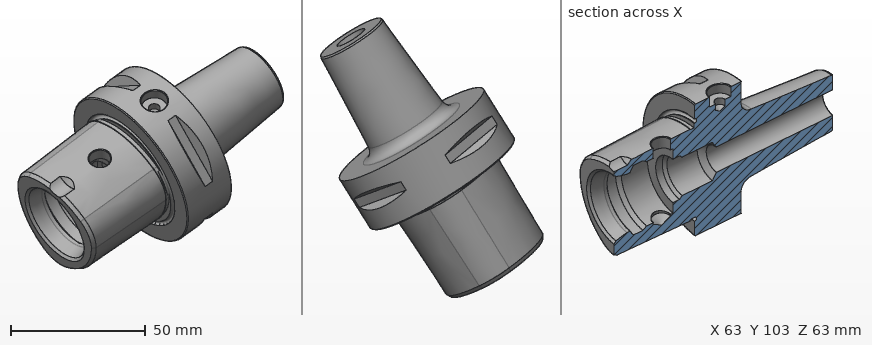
import cadquery as cq
import math


flange_radius = 31.5
flange_length = 22.0
flange_chamfer = 0.4
nose_end = 65.0
nose_tip_radius = 13.5
nose_base_radius = 16.5
nose_tip_bevel_length = 0.7
nose_tip_bevel_inset = 0.3
nose_fillet = 4.8

shank_length = 38.0
shank_half_width = 22.0
lobe_offset = 9.5
taper_per_length = 1 / 40
shank_chamfer_length = 1.5
shank_chamfer_inset = 0.9
neck_length = 2.1
neck_inset = 0.3
lobe_radius = shank_half_width - lobe_offset * math.sqrt(3) / 2
shank_flat_height = 2 * shank_half_width - lobe_offset - lobe_radius

collar_radius = 22.6
collar_height = 0.3
groove_outer_radius = 24.4
relief_length = 1.0

mouth_radius = 16.3
mouth_chamfer = 1.0
lead_in_radius = mouth_radius - mouth_chamfer
lip_radius = 13.8
lip_depth = 6.2
lip_end_depth = 7.7
clamp_groove_radius = 16.5
clamp_groove_start = 9.3
clamp_groove_end = 13.7
clamp_bore_radius = 15.2
clamp_bore_start = 15.5
clamp_bore_depth = 27.8
inner_bore_radius = 10.3
inner_bore_depth = 30.9
coolant_bore_radius = 9.1
coolant_bore_depth = 46.4
tool_bore_radius = 6.0
drill_tip_angle = math.radians(118)

slot_center_y = 12.0
slot_floor_distance = 28.0
slot_floor_width = 3.7
slot_mouth_width = 7.6
slot_angles = (45, 135, 225, 315)
coding_hole_radius = 4.9
hole_rim_chamfer = 0.3
rim_search_height = 1.0
coding_hole_floor = 26.8
coding_pilot_radius = 2.2
coding_pilot_depth = 3.1
shank_hole_radius = 4.0
shank_hole_setback = 22.7
shank_hole_y = shank_hole_setback - shank_length
shank_hole_floor = -16.0
notch_radius = 6.0
notch_floor = 18.2
notch_length = 6.4


def drill_tip_length(radius):
    """Height of the conical bottom left by a drill of the given radius."""
    return radius / math.tan(drill_tip_angle / 2)


def polar(radius, degrees):
    angle = math.radians(degrees)
    return radius * math.cos(angle), radius * math.sin(angle)


def lobed_wire(work, inset):
    """Constant-width outline: three lobe arcs joined tangentially by three flank arcs."""
    tip_radius = lobe_radius - inset
    lobe_centers = {angle: polar(lobe_offset, angle) for angle in (-90, 30, 150)}

    def on_lobe(lobe_angle, direction):
        center_x, center_z = lobe_centers[lobe_angle]
        step_x, step_z = polar(tip_radius, direction)
        return center_x + step_x, center_z + step_z

    flank_reach = lobe_offset * (math.sqrt(3) - 1) + tip_radius
    work = work.moveTo(*on_lobe(-90, -120))
    for lobe_angle, next_lobe in ((-90, 30), (30, 150), (150, -90)):
        work = work.threePointArc(on_lobe(lobe_angle, lobe_angle), on_lobe(lobe_angle, lobe_angle + 30))
        work = work.threePointArc(polar(flank_reach, lobe_angle + 60), on_lobe(next_lobe, next_lobe - 30))
    return work.close()


def lobed_frustum(start, length, start_inset, end_inset):
    """Lobed body running toward -Y from the given distance behind the flange face."""
    work = cq.Workplane("XZ", origin=(0, -start, 0))
    work = lobed_wire(work, start_inset).workplane(offset=length)
    return lobed_wire(work, end_inset).loft(ruled=True)


def revolved(points):
    """Solid of revolution about Y from (radius, y) points."""
    return cq.Workplane("XY").polyline(points).close().revolve(360, (0, 0, 0), (0, 1, 0))


def make_flange_and_nose():
    body = revolved([
        (0, 0),
        (flange_radius - flange_chamfer, 0),
        (flange_radius, flange_chamfer),
        (flange_radius, flange_length),
        (nose_base_radius, flange_length),
        (nose_tip_radius, nose_end - nose_tip_bevel_length),
        (nose_tip_radius - nose_tip_bevel_inset, nose_end),
        (0, nose_end),
    ])
    forward_faces = body.faces("+Y")
    flange_back = forward_faces.faces("<Y")
    inner_edge = cq.selectors.RadiusNthSelector(0)
    return flange_back.edges("%CIRCLE").edges(inner_edge).fillet(nose_fillet)


def make_shank():
    taper_length = shank_length - neck_length - shank_chamfer_length
    taper_inset = taper_length * taper_per_length
    taper_end = neck_length + taper_length
    neck = lobed_frustum(0, neck_length, neck_inset, neck_inset)
    taper = lobed_frustum(neck_length, taper_length, 0, taper_inset)
    tip = lobed_frustum(taper_end, shank_chamfer_length, taper_inset, taper_inset + shank_chamfer_inset)
    collar = cq.Workplane("XZ").circle(collar_radius).extrude(collar_height)
    return neck.union(taper).union(tip).union(collar)


def make_foot_groove():
    """Half-round groove in the flange face, with a relief that trims the lobes above it."""
    groove_radius = (groove_outer_radius - collar_radius) / 2
    relief_depth = groove_outer_radius - collar_radius
    return (
        cq.Workplane("XY")
        .moveTo(collar_radius, 0)
        .threePointArc((collar_radius + groove_radius, groove_radius), (groove_outer_radius, 0))
        .lineTo(groove_outer_radius, -relief_length - relief_depth)
        .lineTo(collar_radius, -relief_length)
        .close()
        .revolve(360, (0, 0, 0), (0, 1, 0))
    )


def make_bore():
    cone_length = drill_tip_length(coolant_bore_radius) - drill_tip_length(tool_bore_radius)
    inner_chamfer = inner_bore_radius - coolant_bore_radius
    steps = [
        (0, 0),
        (mouth_radius, 0),
        (lead_in_radius, mouth_chamfer),
        (lip_radius, lip_depth),
        (lip_radius, lip_end_depth),
        (clamp_groove_radius, clamp_groove_start),
        (clamp_groove_radius, clamp_groove_end),
        (clamp_bore_radius, clamp_bore_start),
        (clamp_bore_radius, clamp_bore_depth),
        (inner_bore_radius, clamp_bore_depth),
        (inner_bore_radius, inner_bore_depth),
        (coolant_bore_radius, inner_bore_depth + inner_chamfer),
        (coolant_bore_radius, coolant_bore_depth),
        (tool_bore_radius, coolant_bore_depth + cone_length),
        (tool_bore_radius, shank_length + nose_end),
        (0, shank_length + nose_end),
    ]
    return revolved([(radius, depth - shank_length) for radius, depth in steps])


def make_gripper_slot(angle):
    """Straight slot with sloped walls across the flange rim, turned about Y."""
    rim_depth = flange_radius - slot_floor_distance
    wall_slope = (slot_mouth_width - slot_floor_width) / 2 / rim_depth
    cut_height = 2 * rim_depth
    half_floor = slot_floor_width / 2
    half_top = half_floor + wall_slope * cut_height
    top = slot_floor_distance + cut_height
    slot = (
        cq.Workplane("YZ", origin=(0, slot_center_y, 0))
        .polyline([
            (-half_floor, slot_floor_distance),
            (half_floor, slot_floor_distance),
            (half_top, top),
            (-half_top, top),
        ])
        .close()
        .extrude(flange_radius, both=True)
    )
    return slot.rotate((0, 0, 0), (0, 1, 0), angle)


def drill_body(top_center, radius, depth):
    """Downward drill with a conical point; the depth excludes the point."""
    profile = [(0, 0), (radius, 0), (radius, -depth), (0, -depth - drill_tip_length(radius))]
    drill = cq.Workplane("XZ").polyline(profile).close().revolve(360, (0, 0, 0), (0, 1, 0))
    return drill.translate(top_center)


def make_coding_hole():
    seat = (
        cq.Workplane("XY", origin=(0, slot_center_y, coding_hole_floor))
        .circle(coding_hole_radius)
        .extrude(flange_radius - coding_hole_floor)
    )
    pilot_center = (0, slot_center_y, coding_hole_floor)
    return seat.union(drill_body(pilot_center, coding_pilot_radius, coding_pilot_depth))


def make_shank_hole():
    """Radial hole through the upper bore wall that leaves a drill point in the opposite wall."""
    top = collar_radius
    return drill_body((0, shank_hole_y, top), shank_hole_radius, top - shank_hole_floor)


def chamfer_hole_rim(body, radius, center_y, rim_z):
    """Break the outer edge of a hole that opens upward at about the given height."""
    rim_box = cq.selectors.BoxSelector(
        (-radius, center_y - radius, rim_z - rim_search_height),
        (radius, center_y + radius, rim_z + rim_search_height),
    )
    return body.edges(rim_box).chamfer(hole_rim_chamfer)


def make_notch():
    """Round-bottomed channel in the shank end, closed by a 45 degree cone."""
    axis_z = notch_floor + notch_radius
    cone_end = notch_length + notch_radius
    profile = [(0, 0), (notch_radius, 0), (notch_radius, notch_length), (0, cone_end)]
    return revolved(profile).translate((0, -shank_length, axis_z))


result = make_flange_and_nose().union(make_shank())
result = result.cut(make_foot_groove()).cut(make_bore())
for slot_angle in slot_angles:
    result = result.cut(make_gripper_slot(slot_angle))
result = result.cut(make_coding_hole()).cut(make_shank_hole())
result = chamfer_hole_rim(result, coding_hole_radius, slot_center_y, flange_radius)
result = chamfer_hole_rim(result, shank_hole_radius, shank_hole_y, shank_flat_height)
result = result.cut(make_notch())